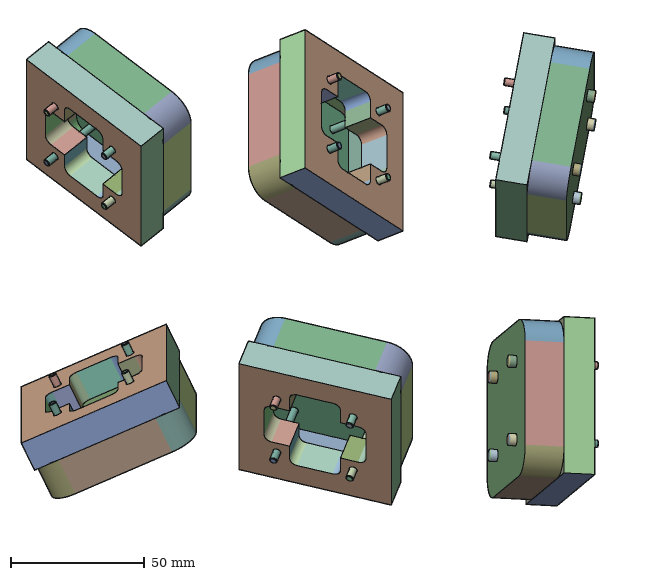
import cadquery as cq

side = 60.0
plate_thickness = 12.0

window_length = 2 * side / 3
window_width = side / 3
window_radius = 3.0

housing_depth = 15.0
housing_radius = side / 6
wall = side / 12
housing_back = plate_thickness + housing_depth
floor_front = housing_back - wall

screw_spacing = side / 2
shank_diameter = 2.95
shank_hole_diameter = 3.2
head_diameter = 4.6
head_height = 2.9
tip_projection = 4.75
tip_chamfer = 0.3
head_edge_radius = 0.35


def box_along_y(size_x, size_z, start, end, corner_radius=0):
    """Block centred on the Y axis, with its four Y edges optionally rounded."""
    block = cq.Workplane("XY").box(size_x, end - start, size_z)
    if corner_radius:
        block = block.edges("|Y").fillet(corner_radius)
    return block.translate((0, (start + end) / 2, 0))


def rod_along_y(diameter, start, end):
    """Cylinder on the Y axis running from start to end."""
    return cq.Workplane("XZ", origin=(0, start, 0)).circle(diameter / 2).extrude(start - end)


def cut_screw_holes(body):
    """Drill the four clearance holes right through a body."""
    hole = rod_along_y(shank_hole_diameter, 0, housing_back)
    for x, z in screw_places:
        body = body.cut(hole.translate((x, 0, z)))
    return body


def make_plate():
    """Square front plate with a through window shaped as a cross."""
    plate = box_along_y(side, side, 0, plate_thickness)
    upright_bar = box_along_y(window_width, window_length, 0, plate_thickness, window_radius)
    level_bar = box_along_y(window_length, window_width, 0, plate_thickness, window_radius)
    return cut_screw_holes(plate.cut(upright_bar).cut(level_bar))


def make_housing():
    """Rounded box with a pocket that opens against the back of the plate."""
    shell = box_along_y(side, side, plate_thickness, housing_back, housing_radius)
    pocket_side = side - 2 * wall
    pocket = box_along_y(pocket_side, pocket_side, plate_thickness, floor_front, housing_radius - wall)
    return cut_screw_holes(shell.cut(pocket))


def make_screw():
    """Cylinder-head screw on the Y axis, its head seated on the back of the housing."""
    shank = rod_along_y(shank_diameter, -tip_projection, housing_back)
    shank = shank.faces("<Y").chamfer(tip_chamfer)
    head = rod_along_y(head_diameter, housing_back, housing_back + head_height)
    head = head.faces(">Y").edges().fillet(head_edge_radius)
    return shank.union(head)


screw_offset = screw_spacing / 2
screw_places = [(x, z) for x in (-screw_offset, screw_offset) for z in (-screw_offset, screw_offset)]

plate = make_plate()
housing = make_housing()
screws = [make_screw().translate((x, 0, z)) for x, z in screw_places]

result = cq.Compound.makeCompound([plate.val(), housing.val(), *[screw.val() for screw in screws]])